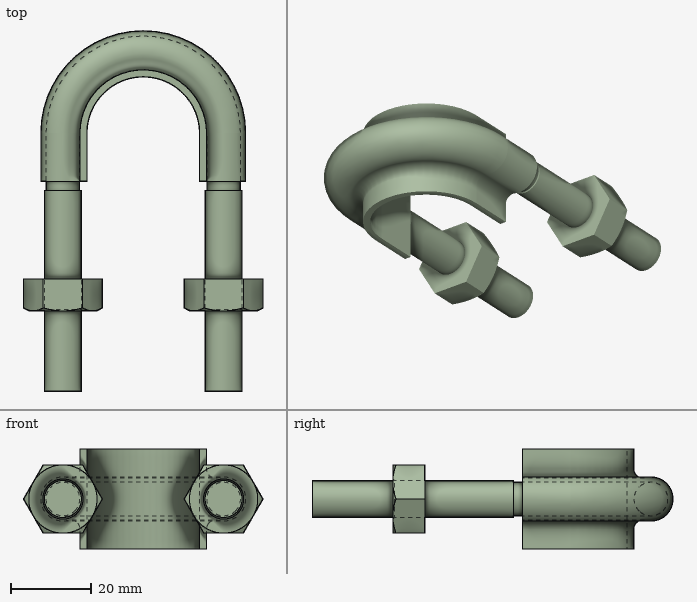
import cadquery as cq
import math

LEG_OFFSET = 20.0

SADDLE_HEIGHT = 25.0
SADDLE_INNER_RADIUS = 14.0
PLATE_THICKNESS = 1.75
PLATE_OUTER_RADIUS = SADDLE_INNER_RADIUS + PLATE_THICKNESS
TUBE_RADIUS = 5.5
BLEND_RADIUS = 2.25
SADDLE_LEG_LENGTH = 12.0

SHANK_DIAMETER = 8.38
THREAD_DIAMETER = 9.2
NECK_LENGTH = 2.25
THREAD_LENGTH = 50.0
THREAD_START_Y = -(SADDLE_LEG_LENGTH + NECK_LENGTH)
BOLT_END_Y = THREAD_START_Y - THREAD_LENGTH

NUT_ACROSS_FLATS = 17.0
NUT_HEIGHT = 8.0
NUT_CHAMFER_ANGLE = 30.0
NUT_TO_BOLT_END = 20.0
COUNTERSINK_DIAMETER = 10.0
NUT_OUTER_FACE_Y = BOLT_END_Y + NUT_TO_BOLT_END
NUT_ACROSS_CORNERS = NUT_ACROSS_FLATS / math.cos(math.pi / 6)


def bend_with_legs(section, leg_length):
    """Sweep a section on the XZ plane around the half-turn bend and along both legs."""
    bend = section.revolve(180, (0, 0, 0), (0, 1, 0))
    leg = section.toPending().extrude(leg_length)
    return bend.union(leg).union(leg.mirror("YZ"))


def saddle_section():
    """Plate rectangle and tube circle, joined by fillet arcs tangent to both."""
    half_height = SADDLE_HEIGHT / 2
    blend_x = PLATE_OUTER_RADIUS + BLEND_RADIUS
    blend_z = math.sqrt((TUBE_RADIUS + BLEND_RADIUS) ** 2 - (LEG_OFFSET - blend_x) ** 2)
    tube_share = TUBE_RADIUS / (TUBE_RADIUS + BLEND_RADIUS)
    tube_x = LEG_OFFSET + (blend_x - LEG_OFFSET) * tube_share
    tube_z = blend_z * tube_share
    angle_to_tube = math.atan2(tube_z - blend_z, tube_x - blend_x)
    middle_angle = (angle_to_tube - math.pi) / 2
    middle_x = blend_x + BLEND_RADIUS * math.cos(middle_angle)
    middle_z = blend_z + BLEND_RADIUS * math.sin(middle_angle)
    return (
        cq.Workplane("XZ")
        .moveTo(SADDLE_INNER_RADIUS, -half_height)
        .lineTo(PLATE_OUTER_RADIUS, -half_height)
        .lineTo(PLATE_OUTER_RADIUS, -blend_z)
        .threePointArc((middle_x, -middle_z), (tube_x, -tube_z))
        .threePointArc((LEG_OFFSET + TUBE_RADIUS, 0), (tube_x, tube_z))
        .threePointArc((middle_x, middle_z), (PLATE_OUTER_RADIUS, blend_z))
        .lineTo(PLATE_OUTER_RADIUS, half_height)
        .lineTo(SADDLE_INNER_RADIUS, half_height)
        .close()
    )


def make_shank():
    """U-shaped round bar that fills the saddle tube and reaches the thread."""
    section = cq.Workplane("XZ").moveTo(LEG_OFFSET, 0).circle(SHANK_DIAMETER / 2)
    return bend_with_legs(section, -THREAD_START_Y)


def make_saddle():
    """Saddle with a passage that fits the bolt shank."""
    return bend_with_legs(saddle_section(), SADDLE_LEG_LENGTH).cut(make_shank())


def make_bolt():
    """Shank with a thicker threaded end on each leg."""
    bolt = make_shank()
    for side in (-1, 1):
        thread = (
            cq.Workplane("XZ", origin=(side * LEG_OFFSET, THREAD_START_Y, 0))
            .circle(THREAD_DIAMETER / 2)
            .extrude(THREAD_LENGTH)
        )
        bolt = bolt.union(thread)
    return bolt


def make_nut(center_x):
    """Hexagon with two corners along X, chamfered and countersunk on its -Y face."""
    inner_face_y = NUT_OUTER_FACE_Y + NUT_HEIGHT
    blank = (
        cq.Workplane("XZ", origin=(center_x, inner_face_y, 0))
        .polygon(6, NUT_ACROSS_CORNERS)
        .extrude(NUT_HEIGHT)
    )
    face_radius = NUT_ACROSS_FLATS / 2
    corner_radius = NUT_ACROSS_CORNERS / 2
    chamfer_height = (corner_radius - face_radius) * math.tan(math.radians(NUT_CHAMFER_ANGLE))
    envelope = (
        cq.Workplane("XY", origin=(center_x, NUT_OUTER_FACE_Y, 0))
        .polyline([
            (0, 0),
            (face_radius, 0),
            (corner_radius, chamfer_height),
            (corner_radius, NUT_HEIGHT),
            (0, NUT_HEIGHT),
        ])
        .close()
        .revolve(360, (0, 0, 0), (0, 1, 0))
    )
    hole_radius = THREAD_DIAMETER / 2
    countersink_radius = COUNTERSINK_DIAMETER / 2
    hole = (
        cq.Workplane("XY", origin=(center_x, NUT_OUTER_FACE_Y, 0))
        .polyline([
            (0, 0),
            (countersink_radius, 0),
            (hole_radius, countersink_radius - hole_radius),
            (hole_radius, NUT_HEIGHT),
            (0, NUT_HEIGHT),
        ])
        .close()
        .revolve(360, (0, 0, 0), (0, 1, 0))
    )
    return blank.intersect(envelope).cut(hole)


saddle = make_saddle()
bolt = make_bolt()
nuts = [make_nut(side * LEG_OFFSET) for side in (-1, 1)]

result = cq.Compound.makeCompound([saddle.val(), bolt.val(), *[nut.val() for nut in nuts]])